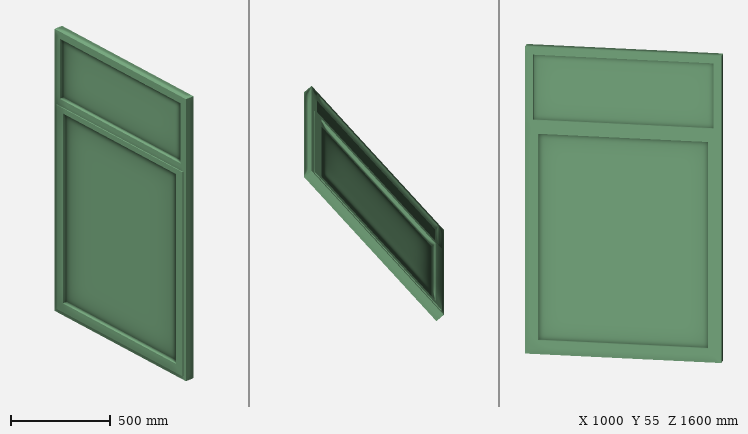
import cadquery as cq

HEIGHT = 1600.0
WIDTH = 1000.0
TOTAL_DEPTH = 55.0
SASH_PROJECTION = 5.0
FRAME_DEPTH = TOTAL_DEPTH - SASH_PROJECTION

FRAME_BORDER = 40.0
UPPER_BOTTOM = 1220.0
UPPER_TOP = HEIGHT - FRAME_BORDER

SASH_MARGIN = 20.0
SASH_TOP = 1180.0
STILE_WIDTH = 48.0
TOP_RAIL = 30.0
BOTTOM_RAIL = 51.0

PANE_THICKNESS = 10.0
UPPER_PANE_RECESS = 24.0
LOWER_PANE_RECESS = 20.0

INNER_WIDTH = WIDTH - 2 * FRAME_BORDER
SASH_WIDTH = WIDTH - 2 * SASH_MARGIN
LOWER_WIDTH = SASH_WIDTH - 2 * STILE_WIDTH
SASH_OPENING_TOP = SASH_TOP - (FRAME_BORDER - SASH_MARGIN)
LOWER_BOTTOM = SASH_MARGIN + BOTTOM_RAIL
LOWER_TOP = SASH_TOP - TOP_RAIL


def panel(width, bottom, top, front, back):
    """Rectangular block centred on X, between two heights and two depths."""
    size = (width, back - front, top - bottom)
    return cq.Workplane("XY").box(*size, centered=(True, False, False)).translate((0, front, bottom))


def make_frame():
    """Outer frame with a transom between the upper light and the sash opening."""
    blank = panel(WIDTH, 0, HEIGHT, 0, FRAME_DEPTH)
    upper_opening = panel(INNER_WIDTH, UPPER_BOTTOM, UPPER_TOP, 0, FRAME_DEPTH)
    sash_opening = panel(INNER_WIDTH, FRAME_BORDER, SASH_OPENING_TOP, 0, FRAME_DEPTH)
    return blank.cut(upper_opening).cut(sash_opening)


def make_sash():
    """Sash filling its opening, with a thin lip that laps over the frame's front face."""
    lip = panel(SASH_WIDTH, SASH_MARGIN, SASH_TOP, -SASH_PROJECTION, 0)
    core = panel(INNER_WIDTH, FRAME_BORDER, SASH_OPENING_TOP, 0, FRAME_DEPTH)
    opening = panel(LOWER_WIDTH, LOWER_BOTTOM, LOWER_TOP, -SASH_PROJECTION, FRAME_DEPTH)
    return lip.union(core).cut(opening)


def make_pane(width, bottom, top, recess):
    """Flat pane filling an opening from edge to edge."""
    return panel(width, bottom, top, recess, recess + PANE_THICKNESS)


frame = make_frame()
sash = make_sash()
upper_pane = make_pane(INNER_WIDTH, UPPER_BOTTOM, UPPER_TOP, UPPER_PANE_RECESS)
lower_pane = make_pane(LOWER_WIDTH, LOWER_BOTTOM, LOWER_TOP, LOWER_PANE_RECESS)

result = cq.Compound.makeCompound([frame.val(), sash.val(), upper_pane.val(), lower_pane.val()])